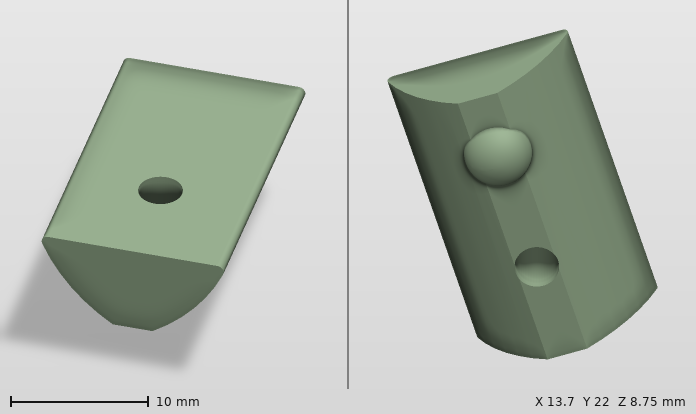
import cadquery as cq
import math

body_length = 22.0
body_width = 13.7
body_height = 7.0
foot_width = 3.0
edge_radius = 0.5
edge_wrap_angle = math.radians(23.0)

hole_diameter = 3.242
hole_end_distance = 7.5

ball_diameter = 5.0
ball_end_distance = 5.0
ball_projection = 1.75

hole_y = -body_length / 2 + hole_end_distance
ball_y = body_length / 2 - ball_end_distance
ball_z = -body_height - ball_projection + ball_diameter / 2


def make_body():
    """Bar with a flat top, rounded long edges and bowed flanks down to a flat foot."""
    edge_center_x = body_width / 2 - edge_radius
    edge_center_z = -edge_radius

    def on_edge(angle):
        return (
            edge_center_x + edge_radius * math.cos(angle),
            edge_center_z + edge_radius * math.sin(angle),
        )

    profile = (
        cq.Workplane("XZ", origin=(0, body_length / 2, 0))
        .lineTo(edge_center_x, 0)
        .threePointArc(on_edge(0), on_edge(-edge_wrap_angle))
        .tangentArcPoint((foot_width / 2, -body_height), relative=False)
        .lineTo(0, -body_height)
        .mirrorY()
    )
    return profile.extrude(body_length)


def make_ball():
    """Detent ball partly sunk into the underside."""
    return cq.Workplane("XY").sphere(ball_diameter / 2).translate((0, ball_y, ball_z))


def make_hole():
    """Cutter for the vertical hole through the full body height."""
    return (
        cq.Workplane("XY")
        .center(0, hole_y)
        .circle(hole_diameter / 2)
        .extrude(-body_height)
    )


result = make_body().union(make_ball()).cut(make_hole())